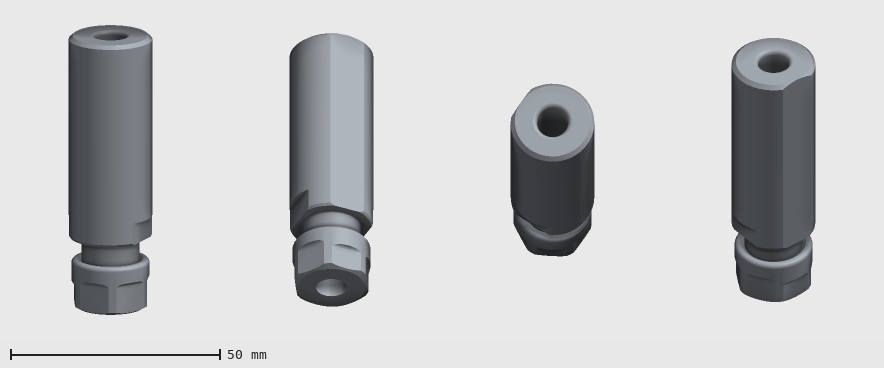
import cadquery as cq
import math

total_height = 67.1
nut_height = 11.9
body_bottom = 17.2

body_radius = 10.0
top_chamfer_height = 0.9
top_chamfer_width = 1.0
bottom_chamfer_height = 0.6
bottom_chamfer_width = 0.4
clamping_flat_distance = 9.0
wrench_flat_distance = 8.5
wrench_flat_top = 22.7

neck_radius = 7.0
neck_fillet = 0.4

nut_radius = 9.3
nut_fillet = 1.0
nut_mouth_radius = 7.8
nut_mouth_depth = 0.55
nut_chamfer_height = 0.8
nut_chamfer_width = 1.35
nut_flat_count = 6
nut_flat_distance = 8.5
nut_flat_runout = 1.0
tall_flat_height = 6.9
short_flat_height = 5.5

bore_radius = 3.7
bore_lip = 1.1

cut_margin = 3.35


def turned_blank():
    """Nut, neck and shank as one profile revolved about Z."""
    diagonal = math.sqrt(0.5)
    nut_fillet_middle = (
        nut_radius - nut_fillet * (1 - diagonal),
        nut_height - nut_fillet * (1 - diagonal),
    )
    neck_fillet_middle = (
        neck_radius + neck_fillet * (1 - diagonal),
        body_bottom - neck_fillet * (1 - diagonal),
    )
    profile = (
        cq.Workplane("XZ")
        .moveTo(0, 0)
        .lineTo(nut_radius - nut_chamfer_width, 0)
        .lineTo(nut_radius, nut_chamfer_height)
        .lineTo(nut_radius, nut_height - nut_fillet)
        .threePointArc(nut_fillet_middle, (nut_radius - nut_fillet, nut_height))
        .lineTo(nut_mouth_radius, nut_height)
        .lineTo(neck_radius, nut_height - nut_mouth_depth)
        .lineTo(neck_radius, body_bottom - neck_fillet)
        .threePointArc(neck_fillet_middle, (neck_radius + neck_fillet, body_bottom))
        .lineTo(body_radius - bottom_chamfer_width, body_bottom)
        .lineTo(body_radius, body_bottom + bottom_chamfer_height)
        .lineTo(body_radius, total_height - top_chamfer_height)
        .lineTo(body_radius - top_chamfer_width, total_height)
        .lineTo(0, total_height)
        .close()
    )
    return profile.revolve(360, (0, 0, 0), (0, 1, 0))


def side_cut(distance, bottom, top):
    """Block removing everything beyond a plane facing +X."""
    return (
        cq.Workplane("XY", origin=(distance, 0, bottom))
        .box(cut_margin, 2 * body_radius, top - bottom, centered=(False, True, False))
    )


def nut_flat_cut(flat_height):
    """Flat facing +X whose upper end runs out in a concave quarter round."""
    inner = nut_flat_distance
    outer = inner + cut_margin
    round_center = inner + nut_flat_runout
    diagonal_offset = nut_flat_runout * math.sqrt(0.5)
    return (
        cq.Workplane("XZ")
        .moveTo(inner, -cut_margin)
        .lineTo(inner, flat_height)
        .threePointArc(
            (round_center - diagonal_offset, flat_height + diagonal_offset),
            (round_center, flat_height + nut_flat_runout),
        )
        .lineTo(outer, flat_height + nut_flat_runout)
        .lineTo(outer, -cut_margin)
        .close()
        .extrude(nut_radius, both=True)
    )


def turn(shape, angle):
    return shape.rotate((0, 0, 0), (0, 0, 1), angle)


result = turned_blank()

result = result.cut(turn(side_cut(clamping_flat_distance, body_bottom, total_height), 90))

for angle in (0, 180):
    result = result.cut(turn(side_cut(wrench_flat_distance, body_bottom, wrench_flat_top), angle))

for index in range(nut_flat_count):
    is_tall = index < nut_flat_count / 2
    flat_height = tall_flat_height if is_tall else short_flat_height
    angle = -90 + index * 360 / nut_flat_count
    result = result.cut(turn(nut_flat_cut(flat_height), angle))

result = result.cut(cq.Workplane("XY").circle(bore_radius).extrude(total_height))
result = result.faces(">Z").edges(cq.selectors.RadiusNthSelector(0)).fillet(bore_lip)